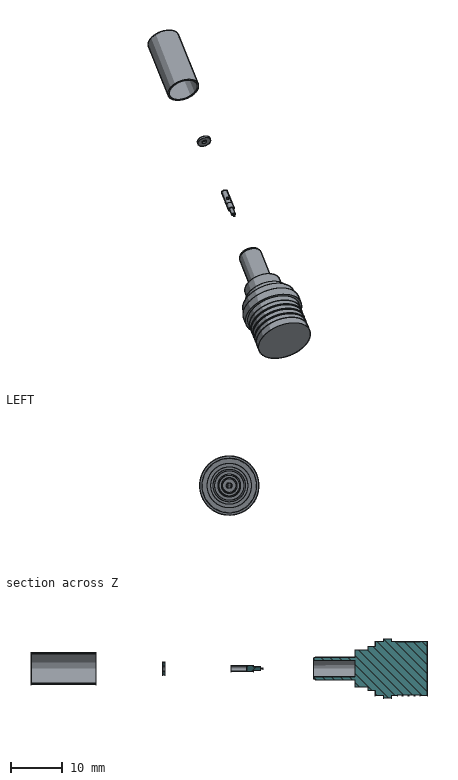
import cadquery as cq


SLEEVE_LENGTH = 12.6
SLEEVE_RADIUS = 3.15
SLEEVE_BORE_RADIUS = 2.85

WASHER_START = 25.5
WASHER_THICKNESS = 0.45
WASHER_RADIUS = 1.3
WASHER_HOLE_RADIUS = 0.45

PIN_START = 38.7
PIN_BARREL_LENGTH = 4.4
PIN_BARREL_RADIUS = 0.6
PIN_BORE_RADIUS = 0.45
PIN_BORE_DEPTH = 3.1
PIN_NECK_LENGTH = 1.4
PIN_NECK_RADIUS = 0.4
PIN_TIP_LENGTH = 0.45
PIN_TIP_RADIUS = 0.15
SOLDER_HOLE_RADIUS = 0.2
SOLDER_HOLE_OFFSET = 2.1

HOUSING_START = 54.65
HOUSING_END = 76.75
FERRULE_RADIUS = 2.2
FERRULE_BORE_RADIUS = 1.5
FERRULE_CHAMFER_LENGTH = 0.45
FERRULE_CHAMFER_HEIGHT = 0.2
FERRULE_LENGTH = 8.05
REAR_COLLAR_LENGTH = 2.5
REAR_COLLAR_RADIUS = 3.6
FRONT_COLLAR_LENGTH = 1.4
FRONT_COLLAR_RADIUS = 4.3
GRIP_RADIUS = 5.3
FLANGE_OFFSET = 1.6
FLANGE_WIDTH = 1.6
FLANGE_RADIUS = 5.75

GROOVE_COUNT = 4
GROOVE_PITCH = 1.15
GROOVE_WIDTH = 0.9
GROOVE_DEPTH = 0.1
FIRST_GROOVE_OFFSET = 1.1


def cylinder(start, length, radius):
    """Round bar along +X, starting at x = start."""
    return cq.Workplane("YZ", origin=(start, 0, 0)).circle(radius).extrude(length)


def ring(start, length, outer_radius, inner_radius):
    """Round tube along +X, starting at x = start."""
    return cylinder(start, length, outer_radius).cut(cylinder(start, length, inner_radius))


def make_sleeve():
    return ring(0, SLEEVE_LENGTH, SLEEVE_RADIUS, SLEEVE_BORE_RADIUS)


def make_washer():
    return ring(WASHER_START, WASHER_THICKNESS, WASHER_RADIUS, WASHER_HOLE_RADIUS)


def make_pin():
    neck_start = PIN_START + PIN_BARREL_LENGTH
    tip_start = neck_start + PIN_NECK_LENGTH
    pin = cylinder(PIN_START, PIN_BARREL_LENGTH, PIN_BARREL_RADIUS)
    pin = pin.union(cylinder(neck_start, PIN_NECK_LENGTH, PIN_NECK_RADIUS))
    pin = pin.union(cylinder(tip_start, PIN_TIP_LENGTH, PIN_TIP_RADIUS))
    pin = pin.cut(cylinder(PIN_START, PIN_BORE_DEPTH, PIN_BORE_RADIUS))

    solder_hole = (
        cq.Workplane("XY", origin=(PIN_START + SOLDER_HOLE_OFFSET, 0, 0))
        .circle(SOLDER_HOLE_RADIUS)
        .extrude(PIN_BARREL_RADIUS)
    )
    return pin.cut(solder_hole)


def make_ferrule():
    """Bar with a chamfered free end."""
    end_radius = FERRULE_RADIUS - FERRULE_CHAMFER_HEIGHT
    profile = [
        (HOUSING_START, 0),
        (HOUSING_START, end_radius),
        (HOUSING_START + FERRULE_CHAMFER_LENGTH, FERRULE_RADIUS),
        (HOUSING_START + FERRULE_LENGTH, FERRULE_RADIUS),
        (HOUSING_START + FERRULE_LENGTH, 0),
    ]
    return cq.Workplane("XY").polyline(profile).close().revolve(360, (0, 0, 0), (1, 0, 0))


def make_housing():
    rear_collar_start = HOUSING_START + FERRULE_LENGTH
    front_collar_start = rear_collar_start + REAR_COLLAR_LENGTH
    grip_start = front_collar_start + FRONT_COLLAR_LENGTH
    flange_start = grip_start + FLANGE_OFFSET

    housing = make_ferrule()
    housing = housing.union(cylinder(rear_collar_start, REAR_COLLAR_LENGTH, REAR_COLLAR_RADIUS))
    housing = housing.union(cylinder(front_collar_start, FRONT_COLLAR_LENGTH, FRONT_COLLAR_RADIUS))
    housing = housing.union(cylinder(grip_start, HOUSING_END - grip_start, GRIP_RADIUS))
    housing = housing.union(cylinder(flange_start, FLANGE_WIDTH, FLANGE_RADIUS))

    first_groove_start = flange_start + FLANGE_WIDTH + FIRST_GROOVE_OFFSET
    for index in range(GROOVE_COUNT):
        groove_start = first_groove_start + index * GROOVE_PITCH
        groove = ring(groove_start, GROOVE_WIDTH, FLANGE_RADIUS, GRIP_RADIUS - GROOVE_DEPTH)
        housing = housing.cut(groove)

    return housing.cut(cylinder(HOUSING_START, FERRULE_LENGTH, FERRULE_BORE_RADIUS))


sleeve = make_sleeve()
washer = make_washer()
pin = make_pin()
housing = make_housing()

result = cq.Compound.makeCompound([sleeve.val(), washer.val(), pin.val(), housing.val()])